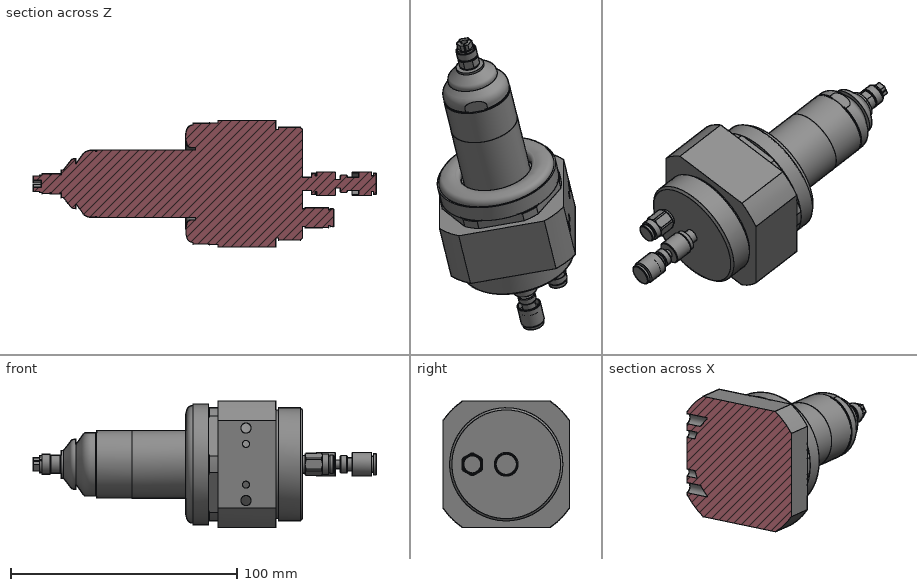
import cadquery as cq
import math


TIP_X = -81.62
COLLET_ACROSS_FLATS = 6.0
COLLET_LENGTH = 2.9
COLLET_BORE_DIA = 3.0
COLLET_SLOT_WIDTH = 0.5
COLLET_SLOT_LENGTH = 3.6
COLLET_SLOT_ANGLES = (30, 150, 270)

CHUCK_DIA = 9.0
CHUCK_SHOULDER_DIA = 7.8
CHUCK_GROOVE_DIA = 8.1
CHUCK_GROOVE_WIDTH = 0.5
CHUCK_SHOULDER_X = TIP_X + COLLET_LENGTH
CHUCK_FRONT_X = -77.7
CHUCK_GROOVE_X = -74.1
CHUCK_ACROSS_FLATS = 8.0

NOSE_FRONT_X = -69.2
NOSE_COLLAR_DIA = 12.4
NOSE_CONE_X = -68.2
NOSE_CONE_END_X = -65.0
NOSE_CONE_END_RADIUS = 10.3
NOSE_RIM_X = -63.5
NOSE_RIM_RADIUS = 11.1
NOSE_REAR_X = -62.7

NUT_FRONT_RADIUS = 8.9
NUT_CONE_END_X = -59.8
NUT_CONE_END_RADIUS = 12.9
NUT_RIM_X = -56.2
NUT_DIA = 29.7
NUT_ACROSS_FLATS = 28.0
NUT_FLAT_FRONT_X = -60.0
NUT_GROOVE_X = -54.0
NUT_GROOVE_DIA = 29.0

HOUSING_FRONT_X = -53.5
HOUSING_JOINT_X = -37.9
HOUSING_DIA = 30.0
FRONT_SLEEVE_DIA = 29.9

CAP_DIA = 53.5
CAP_STEP_DIA = 52.0
CAP_STEP_X = -11.1
CAP_REAR_X = -4.1
CAP_CREST_X = -14.35
CAP_CREST_RADIUS = 20.85
CAP_CREST_HALF_WIDTH = 2.85
CAP_CREST_SAG = 0.5
CAP_BORE_EDGE_LENGTH = 1.7
CAP_BORE_EDGE_SAG = 0.45
CAP_OUTER_EDGE_SAG = 0.65
CAP_BORE_DIA = 32.0
CAP_RECESS_FLOOR_X = -10.0

HEX_ACROSS_FLATS = 50.0
HEX_CORNER_DIA = 54.0
HEX_CORNER_CHAMFER = 0.4

BLOCK_WIDTH = 56.0
BLOCK_CORNER_DIA = 68.0
BLOCK_LENGTH = 25.6
CORE_DIA = 50.0
HOLE_X = 12.4
PIN_HOLE_DIA = 4.46
PIN_HOLE_Z = 16.0
SCREW_HOLE_DIA = 3.1
SCREW_HOLE_Z = 9.0

NECK_DIA = 48.0
FLANGE_DIA = 50.0
FLANGE_FRONT_X = 26.7
FLANGE_REAR_X = 37.4
FLANGE_CHAMFER = 1.0

COUPLING_TUBE_DIA = 6.0
COUPLING_BODY_DIA = 10.5
COUPLING_RELEASE_DIA = 9.5
COUPLING_NECK_DIA = 7.2
COUPLING_STEM_DIA = 4.0
COUPLING_COLLAR_DIA = 7.8
COUPLING_CHAMFER = 0.3
COLLAR_CHAMFER = 0.4
COUPLING_SOCKET_DIA = 9.4
COUPLING_SOCKET_DEPTH = 3.0
RELEASE_FRONT_X = 41.3
RELEASE_REAR_X = 43.0
FRONT_BODY_X = 43.6
FRONT_BODY_END_X = 52.0
COLLAR_X = 54.0
COLLAR_END_X = 57.2
REAR_BODY_X = 59.1
REAR_BODY_END_X = 67.9
REAR_RELEASE_X = 68.6
REAR_END_X = 70.0

FITTING_Y = -15.0
FITTING_BASE_DIA = 8.0
FITTING_HEX_X = 38.5
FITTING_HEX_END_X = 46.2
FITTING_ACROSS_FLATS = 9.0
FITTING_CORNER_DIA = 9.9
FITTING_CORNER_CHAMFER = 0.5
FITTING_HEX_TURN = 30.0
FITTING_BODY_DIA = 9.0
FITTING_BODY_END_X = 48.9
FITTING_NECK_DIA = 7.2
FITTING_RELEASE_DIA = 8.1
FITTING_RELEASE_CHAMFER = 0.3
FITTING_RELEASE_X = 49.5
FITTING_END_X = 51.2


def section(x, y=0.0):
    """Sketch plane across the spindle axis, facing +X, with local x along +Y and local y along +Z."""
    return cq.Workplane("YZ", origin=(x, y, 0))


def disc(x_start, x_end, diameter, y=0.0):
    """Solid cylinder along X."""
    return section(x_start, y).circle(diameter / 2).extrude(x_end - x_start)


def hex_bar(x_start, x_end, across_flats, y=0.0, turn=0.0):
    """Hexagonal bar along X with two flats facing +Z and -Z when turn is 0."""
    corner_dia = across_flats / math.cos(math.pi / 6)
    bar = section(x_start, y).polygon(6, corner_dia).extrude(x_end - x_start)
    return bar.rotate((0, y, 0), (1, y, 0), turn)


def revolve_about_x(profile):
    """Turn a closed half profile, drawn with x along X and y as radius, about the spindle axis."""
    return profile.close().revolve(360, (0, 0, 0), (1, 0, 0))


def flats_cutter(x_start, x_end, across_flats, reach):
    """Two blocks that mill flats facing +Z and -Z."""
    length = x_end - x_start
    outer = cq.Workplane("XY").box(length, reach, reach)
    kept = cq.Workplane("XY").box(length, reach, across_flats)
    return outer.cut(kept).translate(((x_start + x_end) / 2, 0, 0))


def collet_and_chuck():
    shape = hex_bar(TIP_X, CHUCK_SHOULDER_X, COLLET_ACROSS_FLATS)
    shape = shape.union(disc(CHUCK_SHOULDER_X, CHUCK_FRONT_X, CHUCK_SHOULDER_DIA))
    flats_start_x = CHUCK_GROOVE_X + CHUCK_GROOVE_WIDTH
    flats_end_x = NOSE_FRONT_X - CHUCK_GROOVE_WIDTH
    shape = shape.union(disc(CHUCK_FRONT_X, CHUCK_GROOVE_X, CHUCK_DIA))
    shape = shape.union(disc(CHUCK_GROOVE_X, NOSE_FRONT_X, CHUCK_GROOVE_DIA))
    shape = shape.union(disc(flats_start_x, flats_end_x, CHUCK_DIA))
    shape = shape.cut(flats_cutter(flats_start_x, flats_end_x, CHUCK_ACROSS_FLATS, 2 * CHUCK_DIA))
    shape = shape.cut(disc(TIP_X, TIP_X + COLLET_SLOT_LENGTH, COLLET_BORE_DIA))
    for angle in COLLET_SLOT_ANGLES:
        slot = (
            section(TIP_X)
            .rect(COLLET_ACROSS_FLATS, COLLET_SLOT_WIDTH)
            .extrude(COLLET_SLOT_LENGTH)
            .translate((0, COLLET_ACROSS_FLATS / 2, 0))
            .rotate((0, 0, 0), (1, 0, 0), angle)
        )
        shape = shape.cut(slot)
    return shape


def nose():
    collar_radius = NOSE_COLLAR_DIA / 2
    profile = (
        cq.Workplane("XY")
        .moveTo(NOSE_FRONT_X, 0)
        .lineTo(NOSE_FRONT_X, collar_radius)
        .lineTo(NOSE_CONE_X, collar_radius)
        .lineTo(NOSE_CONE_END_X, NOSE_CONE_END_RADIUS)
        .tangentArcPoint((NOSE_RIM_X, NOSE_RIM_RADIUS), relative=False)
        .lineTo(NOSE_REAR_X, NOSE_RIM_RADIUS)
        .lineTo(NOSE_REAR_X, 0)
    )
    return revolve_about_x(profile)


def bearing_nut():
    nut_radius = NUT_DIA / 2
    profile = (
        cq.Workplane("XY")
        .moveTo(NOSE_REAR_X, 0)
        .lineTo(NOSE_REAR_X, NUT_FRONT_RADIUS)
        .lineTo(NUT_CONE_END_X, NUT_CONE_END_RADIUS)
        .tangentArcPoint((NUT_RIM_X, nut_radius), relative=False)
        .lineTo(NUT_GROOVE_X, nut_radius)
        .lineTo(NUT_GROOVE_X, NUT_GROOVE_DIA / 2)
        .lineTo(HOUSING_FRONT_X, NUT_GROOVE_DIA / 2)
        .lineTo(HOUSING_FRONT_X, 0)
    )
    nut = revolve_about_x(profile)
    return nut.cut(flats_cutter(NUT_FLAT_FRONT_X, HOUSING_FRONT_X, NUT_ACROSS_FLATS, 2 * NUT_DIA))


def housing():
    """Two housing sleeves; the front one is turned slightly thinner, which marks the joint."""
    front_sleeve = disc(HOUSING_FRONT_X, HOUSING_JOINT_X, FRONT_SLEEVE_DIA)
    return front_sleeve.union(disc(HOUSING_JOINT_X, CAP_REAR_X, HOUSING_DIA))


def cap_ring():
    """Ring with a crowned front face, rounded edges and a shallow annular gap around the housing."""
    bore_radius = CAP_BORE_DIA / 2
    step_radius = CAP_STEP_DIA / 2
    crown_edge_x = CAP_CREST_X + CAP_CREST_SAG
    crown_inner_radius = CAP_CREST_RADIUS - CAP_CREST_HALF_WIDTH
    crown_outer_radius = CAP_CREST_RADIUS + CAP_CREST_HALF_WIDTH
    profile = (
        cq.Workplane("XY")
        .moveTo(CAP_REAR_X, 0)
        .lineTo(CAP_RECESS_FLOOR_X, 0)
        .lineTo(CAP_RECESS_FLOOR_X, bore_radius)
        .lineTo(crown_edge_x + CAP_BORE_EDGE_LENGTH, bore_radius)
        .sagittaArc((crown_edge_x, crown_inner_radius), CAP_BORE_EDGE_SAG)
        .threePointArc((CAP_CREST_X, CAP_CREST_RADIUS), (crown_edge_x, crown_outer_radius))
        .sagittaArc((CAP_STEP_X, step_radius), CAP_OUTER_EDGE_SAG)
        .lineTo(CAP_STEP_X, CAP_DIA / 2)
        .lineTo(CAP_REAR_X, CAP_DIA / 2)
    )
    return revolve_about_x(profile)


def turned_hex(x_start, x_end, across_flats, corner_dia, bevelled_faces, bevel, y=0.0, turn=0.0):
    """Hexagon whose corners are turned down to corner_dia and bevelled on the selected end faces."""
    blank = disc(x_start, x_end, corner_dia, y).faces(bevelled_faces).chamfer(bevel)
    return blank.intersect(hex_bar(x_start, x_end, across_flats, y, turn))


def hexagon_nut():
    return turned_hex(CAP_REAR_X, 0, HEX_ACROSS_FLATS, HEX_CORNER_DIA, "<X", HEX_CORNER_CHAMFER)


def clamp_block():
    block = section(0).rect(BLOCK_WIDTH, BLOCK_WIDTH).extrude(BLOCK_LENGTH)
    block = block.intersect(disc(0, BLOCK_LENGTH, BLOCK_CORNER_DIA))
    holes = ((PIN_HOLE_Z, PIN_HOLE_DIA), (SCREW_HOLE_Z, SCREW_HOLE_DIA))
    for height, diameter in holes:
        for side in (-1, 1):
            hole = (
                cq.Workplane("XZ", origin=(HOLE_X, 0, side * height))
                .circle(diameter / 2)
                .extrude(BLOCK_WIDTH)
            )
            block = block.cut(hole)
    return block.union(disc(0, BLOCK_LENGTH, CORE_DIA))


def rear_flange():
    flange = disc(FLANGE_FRONT_X, FLANGE_REAR_X, FLANGE_DIA).faces(">X").chamfer(FLANGE_CHAMFER)
    return flange.union(disc(BLOCK_LENGTH, FLANGE_FRONT_X, NECK_DIA))


def coupling():
    """Tube, two round coupling bodies and the plug with a collar between them."""
    front_body = disc(FRONT_BODY_X, FRONT_BODY_END_X, COUPLING_BODY_DIA)
    rear_body = disc(REAR_BODY_X, REAR_BODY_END_X, COUPLING_BODY_DIA)
    socket = disc(REAR_BODY_X, REAR_BODY_X + COUPLING_SOCKET_DEPTH, COUPLING_SOCKET_DIA)
    collar = disc(COLLAR_X, COLLAR_END_X, COUPLING_COLLAR_DIA)
    rear_release = disc(REAR_RELEASE_X, REAR_END_X, COUPLING_RELEASE_DIA)
    sections = (
        disc(RELEASE_FRONT_X, RELEASE_REAR_X, COUPLING_RELEASE_DIA),
        disc(RELEASE_REAR_X, FRONT_BODY_X, COUPLING_NECK_DIA),
        front_body.faces(">X").chamfer(COUPLING_CHAMFER),
        disc(FRONT_BODY_END_X, COLLAR_X, COUPLING_STEM_DIA),
        collar.faces("<X or >X").chamfer(COLLAR_CHAMFER),
        rear_body.faces("<X").chamfer(COUPLING_CHAMFER).cut(socket),
        disc(COLLAR_END_X, REAR_BODY_X + COUPLING_SOCKET_DEPTH, COUPLING_TUBE_DIA),
        disc(REAR_BODY_END_X, REAR_RELEASE_X, COUPLING_NECK_DIA),
        rear_release.faces(">X").chamfer(COUPLING_CHAMFER),
    )
    shape = disc(FLANGE_REAR_X, RELEASE_FRONT_X, COUPLING_TUBE_DIA)
    for piece in sections:
        shape = shape.union(piece)
    return shape


def air_fitting():
    """Push-in fitting with a hexagon, beside the coupling; one hexagon flat faces -Y."""
    y = FITTING_Y
    hexagon = turned_hex(
        FITTING_HEX_X,
        FITTING_HEX_END_X,
        FITTING_ACROSS_FLATS,
        FITTING_CORNER_DIA,
        "<X or >X",
        FITTING_CORNER_CHAMFER,
        y,
        FITTING_HEX_TURN,
    )
    release = disc(FITTING_RELEASE_X, FITTING_END_X, FITTING_RELEASE_DIA, y)
    shape = disc(FLANGE_REAR_X, FITTING_HEX_X, FITTING_BASE_DIA, y)
    shape = shape.union(hexagon)
    shape = shape.union(disc(FITTING_HEX_END_X, FITTING_BODY_END_X, FITTING_BODY_DIA, y))
    shape = shape.union(disc(FITTING_BODY_END_X, FITTING_RELEASE_X, FITTING_NECK_DIA, y))
    return shape.union(release.faces(">X").chamfer(FITTING_RELEASE_CHAMFER))


result = clamp_block()
for part in (
    hexagon_nut(),
    cap_ring(),
    housing(),
    bearing_nut(),
    nose(),
    collet_and_chuck(),
    rear_flange(),
    coupling(),
    air_fitting(),
):
    result = result.union(part)